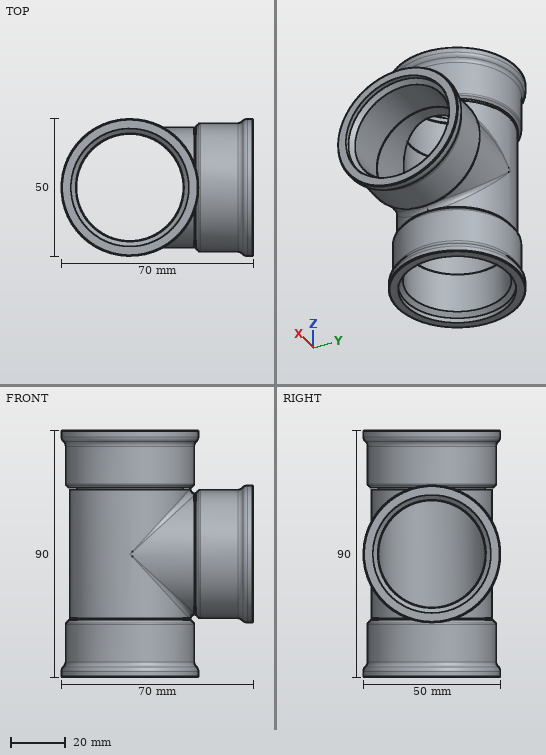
import cadquery as cq
import math


overall_length = 90.0
reach = overall_length / 2

lip_diameter = 50.0
collar_diameter = 47.0
body_diameter = 44.0

mouth_diameter = 43.0
thread_diameter = 39.5
bore_diameter = 39.0

rim_chamfer = 0.4
lip_straight_end = 2.25
collar_start = 5.7
collar_end = 19.35
mouth_depth = 2.0
thread_depth = 20.0

neck_fillet = 0.9
crotch_fillet = 2.0
fade_out = 0.9

lip_radius = lip_diameter / 2
collar_radius = collar_diameter / 2
body_radius = body_diameter / 2
mouth_radius = mouth_diameter / 2
thread_radius = thread_diameter / 2
bore_radius = bore_diameter / 2


def arm_outside():
    """Solid arm along +Z from the crossing point to the socket face."""
    s_middle_radius = (lip_radius + collar_radius) / 2
    s_middle_z = reach - (lip_straight_end + collar_start) / 2

    arc_axial = neck_fillet * math.sin(math.pi / 4)
    arc_radial = neck_fillet - arc_axial
    cone_length = collar_radius - body_radius - 2 * arc_radial
    cone_top_z = reach - collar_end - arc_axial
    cone_bottom_z = cone_top_z - cone_length

    return (
        cq.Workplane("XZ")
        .lineTo(body_radius, 0)
        .lineTo(body_radius, cone_bottom_z - arc_axial)
        .tangentArcPoint((body_radius + arc_radial, cone_bottom_z), relative=False)
        .lineTo(collar_radius - arc_radial, cone_top_z)
        .tangentArcPoint((collar_radius, reach - collar_end), relative=False)
        .lineTo(collar_radius, reach - collar_start)
        .tangentArcPoint((s_middle_radius, s_middle_z), relative=False)
        .tangentArcPoint((lip_radius, reach - lip_straight_end), relative=False)
        .lineTo(lip_radius, reach - rim_chamfer)
        .lineTo(lip_radius - rim_chamfer, reach)
        .lineTo(0, reach)
        .close()
        .revolve(360, (0, 0), (0, 1))
    )


def arm_inside():
    """Passage along +Z: bore, thread bore, 45 degree lead-in and mouth."""
    lead_in = mouth_radius - thread_radius
    return (
        cq.Workplane("XZ")
        .lineTo(bore_radius, 0)
        .lineTo(bore_radius, reach - thread_depth)
        .lineTo(thread_radius, reach - thread_depth)
        .lineTo(thread_radius, reach - mouth_depth - lead_in)
        .lineTo(mouth_radius, reach - mouth_depth)
        .lineTo(mouth_radius, reach)
        .lineTo(0, reach)
        .close()
        .revolve(360, (0, 0), (0, 1))
    )


def tee(arm):
    """Join copies of one arm pointing up, down and along +X."""
    down = arm.rotate((0, 0, 0), (1, 0, 0), 180)
    branch = arm.rotate((0, 0, 0), (0, 1, 0), 90)
    return arm.union(down).union(branch).clean()


def rounded_corner():
    """Upper +Y corner between run and branch, with its concave edge rounded.

    Two plain cylinders of equal size meet along this edge. It fades out where
    their surfaces become tangent, so the corner starts just clear of that point.
    """
    size = reach - collar_end
    run = cq.Workplane("XY").circle(body_radius).extrude(size)
    branch = cq.Workplane("YZ").circle(body_radius).extrude(size)
    corner_box = cq.Workplane("XY").box(size, size, size, centered=False)
    corner_box = corner_box.translate((fade_out, 0, fade_out))
    corner = run.union(branch).intersect(corner_box)
    return corner.edges("%ELLIPSE").fillet(crotch_fillet)


upper_crotch = rounded_corner().mirror("XZ", union=True)
lower_crotch = upper_crotch.mirror("XY")
outside = tee(arm_outside()).union(upper_crotch).union(lower_crotch)
result = outside.cut(tee(arm_inside()))